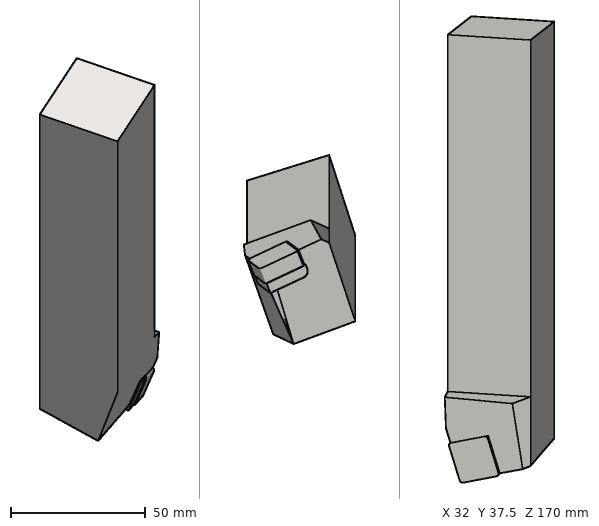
import cadquery as cq
import math

shank = 32.0
length = 170.0
lead_angle = 15.0
clearance_angle = 6.0
nose_x = 24.0
nose_z = 5.1

head_top_z = 34.3
head_top_drop = 1.7
head_bevel_x = 5.5
head_y = 37.4
head_stock = 1.7

insert_side = 16.0
insert_thickness = 6.3
insert_radius = 1.2
tip_x = 27.0
rake_rise_z = 0.13
rake_rise_x = 0.055

pocket_gap = 0.5
seat_depth = 4.2
seat_length = 16.8
seat_setback = 0.5
seat_radius = 2.5

tan_lead = math.tan(math.radians(lead_angle))
cos_lead = math.cos(math.radians(lead_angle))
sin_lead = math.sin(math.radians(lead_angle))

tip_z = -insert_radius * (cos_lead + sin_lead - 1)

edge_y = rake_rise_z * sin_lead + rake_rise_x * cos_lead
rake = cq.Plane(
    origin=(tip_x, shank, tip_z),
    xDir=(-cos_lead, edge_y, sin_lead),
    normal=(rake_rise_x, 1, -rake_rise_z),
)


def block(x, y, z, width, height, depth):
    """Box on the rake plane, from its lower corner."""
    return cq.Workplane(rake).box(width, height, depth, centered=False).translate(
        rake.toWorldCoords((x, y, z)) - rake.origin
    )


def make_blank():
    """Pointed shank with flared flanks and the raised head."""
    margin = length
    pointed = (
        cq.Workplane("XZ")
        .moveTo(nose_x, nose_z)
        .lineTo(nose_x + margin * tan_lead, nose_z + margin)
        .lineTo(-margin, nose_z + margin)
        .lineTo(-margin, nose_z + (nose_x + margin) * tan_lead)
        .close()
        .extrude(-(head_y + head_stock), taper=-clearance_angle)
    )
    bar = cq.Workplane("XY").box(shank, shank, length, centered=False)
    bevel_slope = head_bevel_x / (head_y - shank)
    stock_y = head_y + head_stock
    head_plan = (
        cq.Workplane("XY")
        .moveTo(0, shank)
        .lineTo((stock_y - shank) * bevel_slope, stock_y)
        .lineTo(shank, stock_y)
        .lineTo(shank, shank)
        .close()
        .extrude(head_top_z)
    )
    top_slope = head_top_drop / (head_y - shank)
    head_side = (
        cq.Workplane("YZ")
        .moveTo(shank, 0)
        .lineTo(shank, head_top_z)
        .lineTo(stock_y, head_top_z - (stock_y - shank) * top_slope)
        .lineTo(stock_y, 0)
        .close()
        .extrude(shank)
    )
    return bar.union(head_plan.intersect(head_side)).intersect(pointed)


def make_seat():
    """Pad under the insert, rounded where its floor meets the end wall."""
    size = seat_length - seat_setback
    pad = block(
        seat_setback, seat_setback, -insert_thickness - seat_depth, size, size, seat_depth
    )
    floor_edge = cq.NearestToPointSelector(
        rake.toWorldCoords((seat_length, seat_length / 2, -insert_thickness - seat_depth)).toTuple()
    )
    return pad.edges(floor_edge).fillet(seat_radius)


def make_holder():
    reach = 2 * length
    above_rake = block(-length, -length, 0, reach, reach, length)
    pocket = block(
        -length, -length, -insert_thickness,
        length + insert_side + pocket_gap, length + insert_side, insert_thickness,
    )
    return make_blank().cut(above_rake).cut(pocket).union(make_seat())


def make_insert():
    body = block(0, 0, -insert_thickness, insert_side, insert_side, insert_thickness)
    upright = cq.ParallelDirSelector(rake.zDir)
    return body.edges(upright).fillet(insert_radius)


holder = make_holder()
insert = make_insert()
result = cq.Compound.makeCompound([holder.val(), insert.val()])